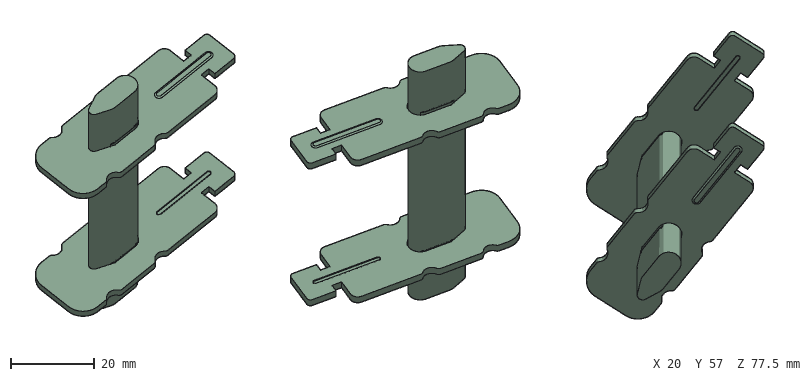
import cadquery as cq
import math

POST_LENGTH = 77.5
POST_WIDTH = 6.0
POST_DEPTH = 15.0
POST_BACK_Y = -1.5
SHOULDER_DEPTH = 10.1
SHOULDER_RADIUS = 3.0
TIP_RADIUS = 1.3
GROOVE_DEPTH = 0.3
GROOVE_OVERHANG = 0.7

PLATE_THICKNESS = 2.0
PLATE_LENGTH = 57.0
PLATE_OUTER_Z = 24.25
BODY_WIDTH = 19.1
BAND_WIDTH = 20.0
HEAD_WIDTH = 10.1
HEAD_LENGTH = 7.45
NECK_WIDTH = 6.0
BODY_DROP = 10.0
HEAD_CORNER = 1.0
BODY_CORNER = 2.0
END_CORNER = 5.0
HOLE_CLEARANCE = 0.15

NOTCH_RADIUS = 2.25
NOTCH_EDGE_RADIUS = 1.0
NOTCH_CENTRE_X = 10.7
NOTCH_MID_Y = -10.2
NOTCH_SPACING = 16.5

BEAD_LENGTH = 19.1
BEAD_WIDTH = 2.2
BEAD_HEIGHT = 0.2
BEAD_SLOPE = 0.5
BEAD_CENTRE_Y = 15.5
CHANNEL_LENGTH = 18.1
CHANNEL_WIDTH = 1.1
CHANNEL_DEPTH = 0.3

half_plate = PLATE_LENGTH / 2
plate_inner_z = PLATE_OUTER_Z - PLATE_THICKNESS
half_post = POST_WIDTH / 2
back_centre_y = POST_BACK_Y - half_post
shoulder_y = POST_BACK_Y - SHOULDER_DEPTH
tip_y = POST_BACK_Y - POST_DEPTH
tip_centre_y = tip_y + TIP_RADIUS

taper_drop = shoulder_y - tip_centre_y
taper = math.atan2(half_post, taper_drop) - math.asin(TIP_RADIUS / math.hypot(half_post, taper_drop))


def teardrop(clearance):
    """Post outline; the clearance widens the back and sides but not the taper or tip."""
    half_width = half_post + clearance
    side_end_y = shoulder_y + clearance / math.tan(taper)
    tip_x = TIP_RADIUS * math.cos(taper)
    tip_start_y = tip_centre_y - TIP_RADIUS * math.sin(taper)
    return (
        cq.Workplane("XY")
        .moveTo(-half_width, side_end_y)
        .lineTo(-half_width, back_centre_y)
        .threePointArc((0, back_centre_y + half_width), (half_width, back_centre_y))
        .lineTo(half_width, side_end_y)
        .lineTo(tip_x, tip_start_y)
        .threePointArc((0, tip_y), (-tip_x, tip_start_y))
        .close()
    )


def make_post():
    post = teardrop(0).extrude(POST_LENGTH).translate((0, 0, -POST_LENGTH / 2))
    for side in (-1, 1):
        corner = cq.selectors.NearestToPointSelector((side * half_post, shoulder_y, 0))
        post = post.edges(corner).fillet(SHOULDER_RADIUS)

    groove_length = PLATE_THICKNESS + GROOVE_OVERHANG
    groove_z = plate_inner_z + groove_length / 2
    groove_y = POST_BACK_Y - POST_DEPTH / 2
    groove = cq.Workplane("XY").box(2 * GROOVE_DEPTH, POST_DEPTH, groove_length)
    for side in (-1, 1):
        for end in (-1, 1):
            post = post.cut(groove.translate((side * half_post, groove_y, end * groove_z)))
    return post


def plate_block(width, y_low, y_high):
    """Plate-thick block centred on X, spanning y_low to y_high."""
    block = cq.Workplane("XY").box(width, y_high - y_low, PLATE_THICKNESS, centered=(True, False, False))
    return block.translate((0, y_low, 0))


def plate_blank():
    body_top = half_plate - BODY_DROP
    head_bottom = half_plate - HEAD_LENGTH
    head = plate_block(HEAD_WIDTH, head_bottom, half_plate)
    head = head.edges("|Z and >Y").fillet(HEAD_CORNER)
    neck = plate_block(NECK_WIDTH, body_top, head_bottom)
    body = plate_block(BODY_WIDTH, -half_plate, body_top)
    body = body.edges("|Z and >Y").fillet(BODY_CORNER)
    body = body.edges("|Z and <Y").fillet(END_CORNER)
    band = plate_block(BAND_WIDTH, NOTCH_MID_Y - NOTCH_SPACING / 2, NOTCH_MID_Y + NOTCH_SPACING / 2)
    return body.union(band).union(neck).union(head)


def cut_side_notches(plate):
    """Round notches at both ends of the band, with their mouths rounded over."""
    for side in (-1, 1):
        for end in (-1, 1):
            x = side * NOTCH_CENTRE_X
            y = NOTCH_MID_Y + end * NOTCH_SPACING / 2
            notch = cq.Workplane("XY").center(x, y).circle(NOTCH_RADIUS).extrude(PLATE_THICKNESS)
            plate = plate.cut(notch)
            for direction, width in ((1, BODY_WIDTH), (-1, BAND_WIDTH)):
                reach = math.sqrt(NOTCH_RADIUS**2 - (NOTCH_CENTRE_X - width / 2) ** 2)
                mouth = (side * width / 2, y + end * direction * reach, PLATE_THICKNESS / 2)
                edge = cq.selectors.NearestToPointSelector(mouth)
                plate = plate.edges("|Z").edges(edge).fillet(NOTCH_EDGE_RADIUS)
    return plate


def make_bead():
    slope_angle = math.degrees(math.atan2(BEAD_SLOPE, BEAD_HEIGHT))
    return (
        cq.Workplane("XY", origin=(0, BEAD_CENTRE_Y, PLATE_THICKNESS))
        .slot2D(BEAD_LENGTH, BEAD_WIDTH, 90)
        .extrude(BEAD_HEIGHT, taper=slope_angle)
    )


def make_channel():
    return (
        cq.Workplane("XY")
        .center(0, BEAD_CENTRE_Y)
        .slot2D(CHANNEL_LENGTH, CHANNEL_WIDTH, 90)
        .extrude(CHANNEL_DEPTH)
    )


def make_plate(end):
    """Plate at the upper (1) or lower (-1) end, with its bead facing outward."""
    plate = cut_side_notches(plate_blank())
    plate = plate.cut(teardrop(HOLE_CLEARANCE).extrude(PLATE_THICKNESS))
    plate = plate.cut(make_channel())
    plate = plate.union(make_bead())
    plate = plate.translate((0, 0, plate_inner_z))
    return plate if end > 0 else plate.mirror("XY")


post = make_post()
plates = [make_plate(end) for end in (1, -1)]

result = cq.Compound.makeCompound([post.val(), *[plate.val() for plate in plates]])